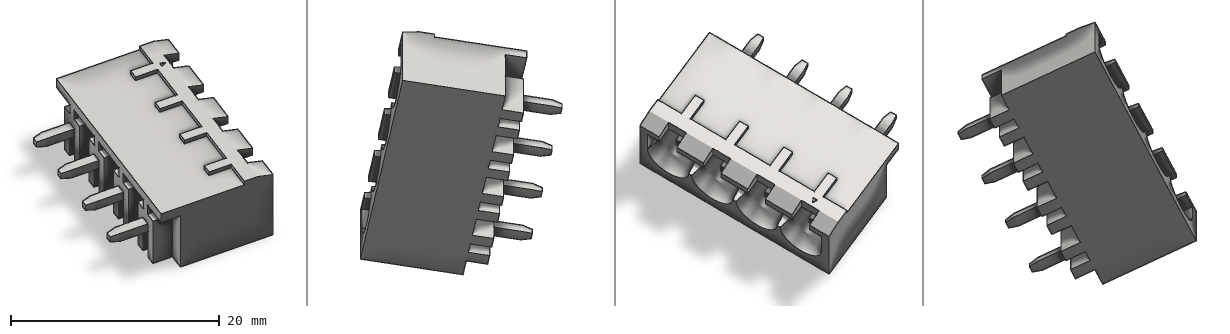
import cadquery as cq
import math


width = 21.72
housing_depth = 12.1
roof_top = 7.75
roof_thickness = 1.1
roof_bottom = roof_top - roof_thickness

position_count = 4
pitch = 5.08
positions = [(i - (position_count - 1) / 2) * pitch for i in range(position_count)]

pin_size = 1.02
pin_height = 3.78
pin_reach = 4.0
tip_size = 0.65
tip_length = 0.98
contact_setback = 2.17

ridge_height = 0.45
ridge_top = roof_top + ridge_height
ridge_depth = 3.1
ridge_slope_depth = 1.63
ridge_slope_drop = 0.43
tooth_width = 1.0
tooth_length = 2.4

marker_width = 0.45
marker_length = 0.48
marker_setback = 2.02
marker_recess = 0.1

recess_depth = 2.09
support_width = 3.13
support_height = 5.47
neck_width = 0.9

socket_depth = 8.0
socket_wall = 0.87
socket_radius = 2.06
lead_in_length = 1.78
lead_in_angle = 9
notch_width = 2.02


def block(x, y_range, z_range, x_size):
    """Box centred on x, spanning the given Y and Z ranges."""
    y_size = y_range[1] - y_range[0]
    z_size = z_range[1] - z_range[0]
    corner = (x - x_size / 2, y_range[0], z_range[0])
    return cq.Workplane("XY").box(x_size, y_size, z_size, centered=False).translate(corner)


def make_housing():
    """Block with the ridge along its back edge, as one side profile."""
    ridge_front = housing_depth - ridge_depth
    body = (
        cq.Workplane("YZ", origin=(-width / 2, 0, 0))
        .polyline(
            [
                (0, 0),
                (0, roof_top),
                (ridge_front, roof_top),
                (ridge_front, ridge_top),
                (housing_depth - ridge_slope_depth, ridge_top),
                (housing_depth, ridge_top - ridge_slope_drop),
                (housing_depth, 0),
            ]
        )
        .close()
        .extrude(width)
    )
    tooth_range = (ridge_front - tooth_length, ridge_front)
    for x in positions:
        body = body.union(block(x, tooth_range, (roof_top, ridge_top), tooth_width))
    return body


def make_front_recess():
    """Material removed below the roof, leaving a slotted, necked support behind each pin."""
    recess_range = (0, recess_depth)
    recess = block(0, recess_range, (0, roof_bottom), width)
    for x in positions:
        support = block(x, recess_range, (0, support_height), support_width)
        neck = block(x, recess_range, (support_height, roof_bottom), neck_width)
        slot = block(x, recess_range, (0, pin_height), pin_size)
        recess = recess.cut(support.union(neck).cut(slot))
    return recess


def make_socket():
    """Cavity with a round trough per position, flaring towards the mouth."""
    inner_end = housing_depth - socket_depth
    flare_start = housing_depth - lead_in_length
    mouth_radius = socket_radius + lead_in_length * math.tan(math.radians(lead_in_angle))
    trough = (
        cq.Workplane("XY")
        .polyline(
            [
                (0, inner_end),
                (socket_radius, inner_end),
                (socket_radius, flare_start),
                (mouth_radius, housing_depth),
                (0, housing_depth),
            ]
        )
        .close()
        .revolve(360, (0, 0), (0, 1))
    )
    socket_top = roof_top - socket_wall
    socket = block(0, (inner_end, housing_depth), (pin_height, socket_top), width - 2 * socket_wall)
    notch_range = (housing_depth - ridge_slope_depth, housing_depth)
    for x in positions:
        socket = socket.union(trough.translate((x, 0, pin_height)))
        socket = socket.union(block(x, notch_range, (pin_height, ridge_top), notch_width))
    return socket


def make_marker():
    """Shallow triangle sunk into the ridge, pointing to the back."""
    apex = housing_depth - marker_setback
    base = apex - marker_length
    return (
        cq.Workplane("XY", origin=(positions[0], 0, ridge_top - marker_recess))
        .polyline([(-marker_width / 2, base), (marker_width / 2, base), (0, apex)])
        .close()
        .extrude(marker_recess)
    )


def make_pin(x):
    """Square pin along Y with a tapered tip at its outer end."""
    taper_start = tip_length - pin_reach
    pin_range = (taper_start, housing_depth - contact_setback)
    half = pin_size / 2
    shank = block(x, pin_range, (pin_height - half, pin_height + half), pin_size)
    tip = (
        cq.Workplane("XZ", origin=(x, taper_start, pin_height))
        .rect(pin_size, pin_size)
        .workplane(offset=tip_length)
        .rect(tip_size, tip_size)
        .loft(ruled=True)
    )
    return shank.union(tip)


result = make_housing().cut(make_front_recess()).cut(make_socket()).cut(make_marker())
for position in positions:
    result = result.union(make_pin(position))